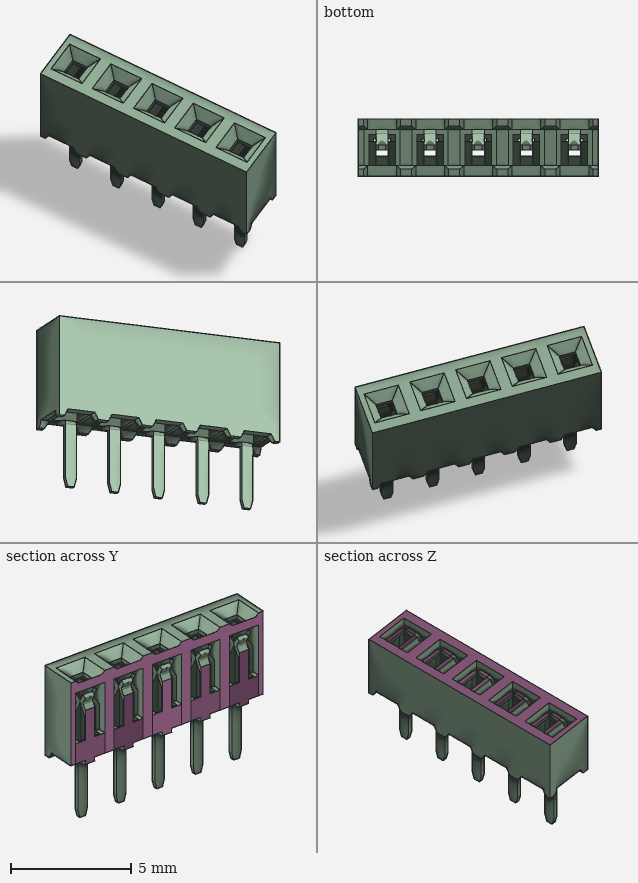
import cadquery as cq
import math


ways = 5
pitch = 2.0
row_x = [(i - (ways - 1) / 2) * pitch for i in range(ways)]

housing_length = ways * pitch
housing_width = 2.4
housing_top = 7.0
foot_bottom = 2.7
foot_height = 0.3
underside = foot_bottom + foot_height
notch_top_width = 1.2
notch_bottom_width = 1.54
trench_top_width = 1.5
trench_bottom_width = 1.8

cavity_size = 1.5
mouth_size = 1.5
throat_size = 0.7
throat_length = 0.2
funnel_bottom = housing_top - (mouth_size - throat_size) / 2
throat_bottom = funnel_bottom - throat_length

sheet = 0.2
plate_outside = cavity_size / 2
plate_inside = plate_outside - sheet
collar_top = 4.0

beam_slope = math.radians(33)
crest_offset = 0.25
crest_height = 5.7
crest_radius = 0.3
beam_tip_offset = 0.45
back_beam_width = 0.5
side_beam_start = -0.25
side_beam_end = plate_outside

tail_width = 0.5
tail_tip_width = 0.3
tail_taper = 0.37
tail_back = -sheet / 2
tail_front = sheet / 2
bend_height = foot_bottom


def across_row(points, length):
    """Prism along Y, centred on the row, from an outline in X and Z."""
    return cq.Workplane("XZ").polyline(points).close().extrude(length / 2, both=True)


def along_row(points, length):
    """Prism along X, centred on the axis, from an outline in Y and Z."""
    return cq.Workplane("YZ").polyline(points).close().extrude(length / 2, both=True)


def flared_groove(bottom_width, top_width):
    """Outline of a groove in the underside that widens towards the bottom."""
    return [
        (-bottom_width / 2, foot_bottom),
        (bottom_width / 2, foot_bottom),
        (top_width / 2, underside),
        (-top_width / 2, underside),
    ]


def make_cavity():
    """Space for one contact: square cavity, throat and funnel mouth."""
    cavity = (
        cq.Workplane("XY").workplane(offset=underside)
        .rect(cavity_size, cavity_size).extrude(throat_bottom - underside)
    )
    throat = (
        cq.Workplane("XY").workplane(offset=throat_bottom)
        .rect(throat_size, throat_size).extrude(throat_length)
    )
    funnel = (
        cq.Workplane("XY").workplane(offset=funnel_bottom)
        .rect(throat_size, throat_size)
        .workplane(offset=housing_top - funnel_bottom)
        .rect(mouth_size, mouth_size).loft(ruled=True)
    )
    return cavity.union(throat).union(funnel)


def make_housing():
    body = (
        cq.Workplane("XY").workplane(offset=foot_bottom)
        .rect(housing_length, housing_width).extrude(housing_top - foot_bottom)
    )
    body = body.cut(along_row(flared_groove(trench_bottom_width, trench_top_width), housing_length))
    notch = across_row(flared_groove(notch_bottom_width, notch_top_width), housing_width)
    cavity = make_cavity()
    for x in row_x:
        body = body.cut(notch.translate((x, 0, 0)))
        body = body.cut(cavity.translate((x, 0, 0)))
    return body


def make_collar():
    """Three-sided collar at the foot of the contact, open towards +Y."""
    height = collar_top - underside
    collar = (
        cq.Workplane("XY").workplane(offset=underside)
        .rect(cavity_size, cavity_size).extrude(height)
    )
    opening = (
        cq.Workplane("XY").workplane(offset=underside)
        .center(0, sheet / 2).rect(2 * plate_inside, cavity_size - sheet).extrude(height)
    )
    return collar.cut(opening)


def make_beam(start, end):
    """Beam on the +X side: leans in to a rounded crest, then flares out; spans start to end in Y."""
    sin = math.sin(beam_slope)
    cos = math.cos(beam_slope)
    rise = 1 / math.tan(beam_slope)
    centre = crest_offset + crest_radius
    outer_radius = crest_radius - sheet

    def on_arc(radius, side):
        return (centre - radius * cos, crest_height + side * radius * sin)

    def knee(radius, offset):
        """Point where the lower slope, tangent to the arc, meets the upright plate."""
        x, z = on_arc(radius, -1)
        return (offset, z - (offset - x) * rise)

    flare_x, flare_z = on_arc(crest_radius, 1)
    inner_tip = (beam_tip_offset, flare_z + (beam_tip_offset - flare_x) * rise)
    outer_tip = (inner_tip[0] + sheet * cos, inner_tip[1] - sheet * sin)

    return (
        cq.Workplane("XZ", origin=(0, end, 0))
        .moveTo(plate_inside, collar_top)
        .lineTo(*knee(crest_radius, plate_inside))
        .lineTo(*on_arc(crest_radius, -1))
        .threePointArc((crest_offset, crest_height), on_arc(crest_radius, 1))
        .lineTo(*inner_tip)
        .lineTo(*outer_tip)
        .lineTo(*on_arc(outer_radius, 1))
        .threePointArc((centre - outer_radius, crest_height), on_arc(outer_radius, -1))
        .lineTo(*knee(outer_radius, plate_outside))
        .lineTo(plate_outside, collar_top)
        .close().extrude(end - start)
    )


def make_tail():
    """Tail that curves out of the back plate, slopes to the middle and turns down."""
    run = plate_inside + tail_back
    drop = underside - bend_height
    slope = math.acos(sheet / math.hypot(run, drop)) - math.atan2(run, drop)

    def on_upper_bend(angle):
        return (-plate_inside - sheet * math.sin(angle), underside - sheet * math.cos(angle))

    def on_lower_bend(angle):
        return (tail_back + sheet * math.sin(angle), bend_height + sheet * math.cos(angle))

    middle = (slope + math.pi / 2) / 2
    strip = (
        cq.Workplane("YZ")
        .moveTo(-plate_inside, underside)
        .lineTo(-plate_outside, underside)
        .threePointArc(on_upper_bend(middle), on_upper_bend(slope))
        .lineTo(tail_back, bend_height)
        .lineTo(tail_back, 0)
        .lineTo(tail_front, 0)
        .lineTo(tail_front, bend_height)
        .threePointArc(on_lower_bend(middle), on_lower_bend(slope))
        .close().extrude(tail_width / 2, both=True)
    )
    front_outline = across_row(
        [
            (-tail_tip_width / 2, 0),
            (tail_tip_width / 2, 0),
            (tail_width / 2, tail_taper),
            (tail_width / 2, underside),
            (-tail_width / 2, underside),
            (-tail_width / 2, tail_taper),
        ],
        cavity_size,
    )
    return strip.intersect(front_outline)


def make_contact():
    right_beam = make_beam(side_beam_start, side_beam_end)
    left_beam = right_beam.mirror("YZ")
    back_beam = make_beam(-back_beam_width / 2, back_beam_width / 2).rotate((0, 0, 0), (0, 0, 1), -90)
    return make_collar().union(right_beam).union(left_beam).union(back_beam).union(make_tail())


housing = make_housing()
contact = make_contact()
contacts = [contact.translate((x, 0, 0)) for x in row_x]

result = cq.Compound.makeCompound([housing.solids().val(), *[c.solids().val() for c in contacts]])